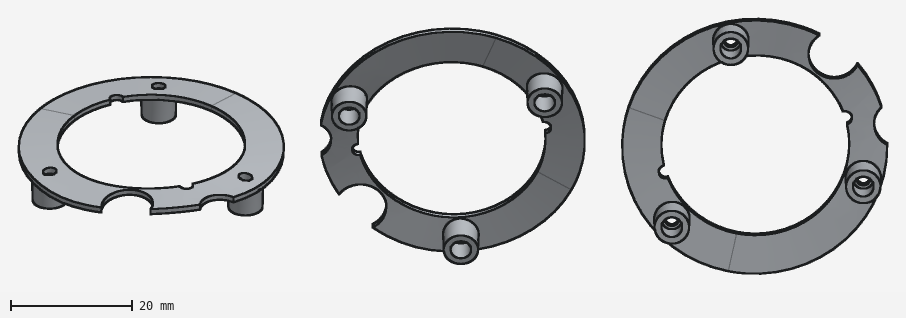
import cadquery as cq
import math

outer_radius = 21.9
inner_radius = 15.5
rim_center = cq.Vector(0, 0, 0)
bore_center = cq.Vector(0.05, -0.12, 0)
plate_thickness = 1.0
peak_height = 6.68
outer_base_height = 5.18
inner_base_height = 5.77
outer_peak_height = 6.57
crest_angle = -57.5
outer_crest_half_width = 60.0
inner_crest_half_width = 88.0
cone_start_angle = 73.5
outer_cone_end_angle = 170.2
inner_cone_end_angle = 168.2
curve_step = 8.0

post_count = 3
first_post_angle = -10.5
post_circle_radius = (outer_radius + inner_radius) / 2
post_foot_diameter = 5.7
post_draft = 1.3
post_height = 4.9
hole_diameter = 2.25
post_bore_diameter = 3.4
post_bore_depth = 4.38

bore_notch_diameter = 2.25
bore_notch_angles = (135.0, -45.0)

rim_notches = (
    (8.5, 20.45, -78.0),
    (7.8, 23.9, -36.8),
)


def polar(radius, angle, height=0.0):
    """Point at a radius, an angle in degrees and a height."""
    turn = math.radians(angle)
    return cq.Vector(radius * math.cos(turn), radius * math.sin(turn), height)


def wave_height(angle, base, peak, half_width):
    """Top height along an edge: flat at the base, with one smooth crest."""
    offset = abs((angle - crest_angle + 180) % 360 - 180)
    if offset >= half_width:
        return base
    return base + (peak - base) * math.cos(math.pi / 2 * offset / half_width) ** 2


def edge_curve(radius, center, start, end, base, peak, half_width):
    """Curve along one edge of the top face between two angles."""
    count = math.ceil((end - start) / curve_step)
    angles = [start + (end - start) * i / count for i in range(count + 1)]
    points = [center + polar(radius, a, wave_height(a, base, peak, half_width)) for a in angles]
    return cq.Edge.makeSpline(points)


def bore_curve(start, end):
    return edge_curve(
        inner_radius, bore_center, start, end, inner_base_height, peak_height, inner_crest_half_width
    )


def rim_curve(start, end):
    return edge_curve(
        outer_radius, rim_center, start, end, outer_base_height, outer_peak_height, outer_crest_half_width
    )


def plate_sector(bore, rim):
    """Solid piece of the plate: the ruled top face swept straight down."""
    top_face = cq.Face.makeRuledSurface(bore, rim)
    down = cq.Vector(0, 0, -plate_thickness)
    return cq.Workplane(obj=cq.Solid.extrudeLinear(top_face, down))


def upright_cylinder(diameter, center, height=peak_height):
    """Cutting cylinder from the foot level up, by default through the whole height."""
    return cq.Workplane().center(center.x, center.y).circle(diameter / 2).extrude(height)


def make_plate():
    """Ring made of a plain cone sector and a wavy sector that closes it."""
    cone = plate_sector(
        bore_curve(cone_start_angle, inner_cone_end_angle),
        rim_curve(cone_start_angle, outer_cone_end_angle),
    )
    wave = plate_sector(
        bore_curve(inner_cone_end_angle, cone_start_angle + 360),
        rim_curve(outer_cone_end_angle, cone_start_angle + 360),
    )
    return cone.union(wave)


def post_centers():
    pitch = 360 / post_count
    return [
        bore_center + polar(post_circle_radius, first_post_angle + i * pitch)
        for i in range(post_count)
    ]


def make_post(center):
    """Post widening upward from its foot and ending inside the plate."""
    return (
        cq.Workplane()
        .center(center.x, center.y)
        .circle(post_foot_diameter / 2)
        .extrude(post_height, taper=-post_draft)
    )


result = make_plate()
for post_center in post_centers():
    result = result.union(make_post(post_center))
for post_center in post_centers():
    result = result.cut(upright_cylinder(hole_diameter, post_center))
    result = result.cut(upright_cylinder(post_bore_diameter, post_center, post_bore_depth))
for notch_angle in bore_notch_angles:
    notch_center = bore_center + polar(inner_radius, notch_angle)
    result = result.cut(upright_cylinder(bore_notch_diameter, notch_center))
for notch_diameter, notch_distance, notch_angle in rim_notches:
    notch_center = rim_center + polar(notch_distance, notch_angle)
    result = result.cut(upright_cylinder(notch_diameter, notch_center))